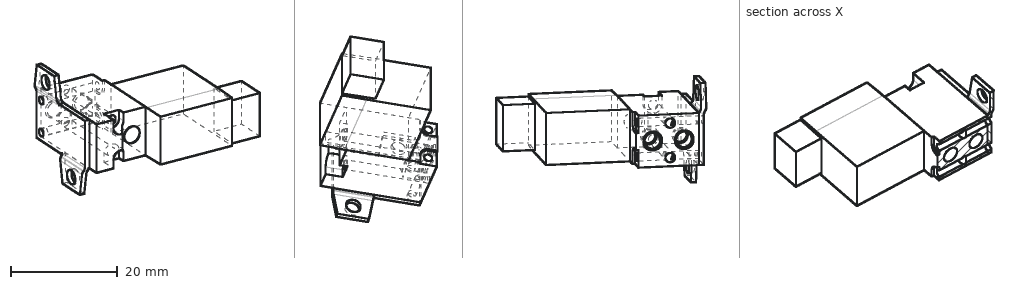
import cadquery as cq
import math


BASE_LENGTH = 19.5
BASE_DEPTH = 12.0
BODY_HEIGHT = 10.0
WAIST_X = 17.7
SLANT_REAR_Y = 6.85
SLANT_ANGLE = 30.0

SCREW_Z = 3.3
FRONT_SCREW_X = 1.7
FRONT_SCREW_DIAMETER = 1.53
SIDE_SCREW_Y = 5.45
SIDE_SCREW_DIAMETER = 1.8
HEAD_RADIUS = 1.67
HEAD_SEAT_X = 16.2
REAR_SEAT_DEPTH = 0.5

FIRST_PORT_Y = 2.78
PORT_COUNT = 2
PORT_PITCH = 6.0
PORT_MOUTH_DIAMETER = 3.6
PORT_DIAMETER = 3.0
PORT_DEPTH = 4.0
PORT_DRILL_DIAMETER = 2.5
DRILL_TIP_ANGLE = 118.0

PAD_Y = 8.97
PAD_DIAMETER = 3.4
PAD_HEIGHT = 0.1

COIL_X = 5.65
COIL_DEPTH = 16.02
TAPER_START_X = 18.12
COIL_END_X = 22.9
TAPER_INSET = 0.07

CONNECTOR_X = 16.4
CONNECTOR_DEPTH = 6.1
CONNECTOR_HEIGHT = 8.9

PLATE_LENGTH = 16.98
SHEET_THICKNESS = 1.0
TAB_ROOT_WIDTH = 8.0
TAB_TIP_WIDTH = 6.12
TAB_TIP_Z = 10.5
TAB_OFFSET = 0.5
BEND_START_Z = 4.65
BEND_RADIUS = 1.07
BEND_ANGLE = 37.0
TAB_HOLE_Z = 8.0
TAB_HOLE_DIAMETER = 2.8

HALF_HEIGHT = BODY_HEIGHT / 2
COIL_REAR_Y = BASE_DEPTH + COIL_DEPTH
TAB_FRONT_Y = -SHEET_THICKNESS - TAB_OFFSET


def box(x_range, y_range, z_range):
    """Box between two limits along each axis."""
    limits = (x_range, y_range, z_range)
    sizes = [high - low for low, high in limits]
    corner = tuple(low for low, high in limits)
    return cq.Workplane("XY").box(*sizes, centered=False).translate(corner)


def rod_along_x(x_start, length, y, z, diameter):
    return cq.Workplane("YZ", origin=(x_start, y, z)).circle(diameter / 2).extrude(length)


def rod_along_y(y_start, length, x, z, diameter):
    return cq.Workplane("XZ", origin=(x, y_start, z)).circle(diameter / 2).extrude(-length)


def base_block():
    """Block that narrows to a waist behind a slanted shoulder."""
    slant_front_y = SLANT_REAR_Y - (BASE_LENGTH - WAIST_X) * math.tan(math.radians(SLANT_ANGLE))
    outline = [
        (0, 0),
        (BASE_LENGTH, 0),
        (BASE_LENGTH, slant_front_y),
        (WAIST_X, SLANT_REAR_Y),
        (WAIST_X, BASE_DEPTH),
        (0, BASE_DEPTH),
    ]
    block = cq.Workplane("XY", origin=(0, 0, -HALF_HEIGHT)).polyline(outline).close()
    return block.extrude(BODY_HEIGHT)


def side_screw_cut(side):
    """Hole along X whose screw head seat opens to the upper (side 1) or lower (side -1) face."""
    z = side * SCREW_Z
    hole = rod_along_x(0, BASE_LENGTH, SIDE_SCREW_Y, z, SIDE_SCREW_DIAMETER)
    seat = rod_along_x(HEAD_SEAT_X, BASE_LENGTH - HEAD_SEAT_X, SIDE_SCREW_Y, z, 2 * HEAD_RADIUS)
    opening = box(
        (HEAD_SEAT_X, BASE_LENGTH),
        (SIDE_SCREW_Y - HEAD_RADIUS, SIDE_SCREW_Y + HEAD_RADIUS),
        sorted((z, side * HALF_HEIGHT)),
    )
    return hole.union(seat).union(opening)


def front_screw_holes():
    """Pair of holes along Y through the bracket plate and the base."""
    holes = cq.Workplane("XZ", origin=(FRONT_SCREW_X, BASE_DEPTH, 0))
    holes = holes.pushPoints([(0, SCREW_Z), (0, -SCREW_Z)]).circle(FRONT_SCREW_DIAMETER / 2)
    return holes.extrude(BASE_DEPTH + SHEET_THICKNESS)


def rear_seat_cut(side):
    """Shallow corner recess on the rear face, rounded about the front screw hole."""
    seat = box(
        (0, FRONT_SCREW_X + HEAD_RADIUS),
        (BASE_DEPTH - REAR_SEAT_DEPTH, BASE_DEPTH),
        sorted((side * (SCREW_Z - HEAD_RADIUS), side * HALF_HEIGHT)),
    )
    inner_edge = ">X and <Z" if side > 0 else ">X and >Z"
    return seat.edges("|Y").edges(inner_edge).fillet(HEAD_RADIUS)


def port_cut(y):
    """Chamfered port along X with a narrower conical drill tip."""
    mouth_radius = PORT_MOUTH_DIAMETER / 2
    port_radius = PORT_DIAMETER / 2
    drill_radius = PORT_DRILL_DIAMETER / 2
    tip_length = drill_radius / math.tan(math.radians(DRILL_TIP_ANGLE / 2))
    half_section = [
        (0, 0),
        (0, mouth_radius),
        (mouth_radius - port_radius, port_radius),
        (PORT_DEPTH, port_radius),
        (PORT_DEPTH, drill_radius),
        (PORT_DEPTH + tip_length, 0),
    ]
    port = cq.Workplane("XY").polyline(half_section).close().revolve(360, (0, 0), (1, 0))
    return port.translate((0, y, 0))


def make_base():
    base = base_block()
    for side in (1, -1):
        base = base.cut(side_screw_cut(side)).cut(rear_seat_cut(side))
    for index in range(PORT_COUNT):
        base = base.cut(port_cut(FIRST_PORT_Y + index * PORT_PITCH))
    base = base.cut(front_screw_holes())
    return base.union(rod_along_x(WAIST_X, PAD_HEIGHT, PAD_Y, 0, PAD_DIAMETER))


def make_coil():
    """Box whose +X end tapers slightly on all four sides."""
    coil = box((COIL_X, TAPER_START_X), (BASE_DEPTH, COIL_REAR_Y), (-HALF_HEIGHT, HALF_HEIGHT))
    middle = (TAPER_START_X, BASE_DEPTH + COIL_DEPTH / 2, 0)
    end = cq.Workplane("YZ", origin=middle).rect(COIL_DEPTH, BODY_HEIGHT)
    end = end.workplane(offset=COIL_END_X - TAPER_START_X)
    end = end.rect(COIL_DEPTH - 2 * TAPER_INSET, BODY_HEIGHT - 2 * TAPER_INSET).loft()
    return coil.union(end)


def make_connector():
    """Block behind the coil, its front fitted to the taper of the coil."""
    connector = box(
        (CONNECTOR_X, COIL_END_X),
        (COIL_REAR_Y - TAPER_INSET, COIL_REAR_Y + CONNECTOR_DEPTH),
        (-CONNECTOR_HEIGHT / 2, CONNECTOR_HEIGHT / 2),
    )
    return connector.cut(make_coil())


def tab_profile():
    """Side section of an upward tab: an S bend of two arcs and a short slope, then a straight leaf."""
    angle = math.radians(BEND_ANGLE)
    arc_offset = BEND_RADIUS * (1 - math.cos(angle))
    arc_height = BEND_RADIUS * math.sin(angle)
    slope_height = (TAB_OFFSET - 2 * arc_offset) / math.tan(angle)
    root_z = BEND_START_Z - SHEET_THICKNESS
    first_arc_z = BEND_START_Z + arc_height
    second_arc_z = first_arc_z + slope_height
    bend_end_z = second_arc_z + arc_height

    front_y = -SHEET_THICKNESS
    tab_back_y = TAB_FRONT_Y + SHEET_THICKNESS
    return (
        cq.Workplane("YZ")
        .moveTo(front_y, root_z)
        .lineTo(front_y, BEND_START_Z)
        .tangentArcPoint((front_y - arc_offset, first_arc_z), relative=False)
        .lineTo(TAB_FRONT_Y + arc_offset, second_arc_z)
        .tangentArcPoint((TAB_FRONT_Y, bend_end_z), relative=False)
        .lineTo(TAB_FRONT_Y, TAB_TIP_Z)
        .lineTo(tab_back_y, TAB_TIP_Z)
        .lineTo(tab_back_y, bend_end_z)
        .tangentArcPoint((tab_back_y + arc_offset, second_arc_z), relative=False)
        .lineTo(-arc_offset, first_arc_z)
        .tangentArcPoint((0, BEND_START_Z), relative=False)
        .lineTo(0, root_z)
        .close()
    )


def upper_tab():
    """Tapered tab with a mounting hole, bent forward above the plate, centred on X = 0."""
    root = TAB_ROOT_WIDTH / 2
    tip = TAB_TIP_WIDTH / 2
    outline = [
        (-root, 0),
        (root, 0),
        (root, HALF_HEIGHT),
        (tip, TAB_TIP_Z),
        (-tip, TAB_TIP_Z),
        (-root, HALF_HEIGHT),
    ]
    leaf = cq.Workplane("XZ").polyline(outline).close().extrude(-TAB_FRONT_Y)
    tab = tab_profile().extrude(root, both=True).intersect(leaf)
    return tab.cut(rod_along_y(TAB_FRONT_Y, SHEET_THICKNESS, 0, TAB_HOLE_Z, TAB_HOLE_DIAMETER))


def make_bracket():
    """Flat plate with one tab up at its left end and one tab down at its right end."""
    plate = box((0, PLATE_LENGTH), (-SHEET_THICKNESS, 0), (-HALF_HEIGHT, HALF_HEIGHT))
    left_tab = upper_tab().translate((TAB_ROOT_WIDTH / 2, 0, 0))
    right_tab = upper_tab().mirror("XY").translate((PLATE_LENGTH - TAB_ROOT_WIDTH / 2, 0, 0))
    return plate.union(left_tab).union(right_tab).cut(front_screw_holes())


base = make_base()
bracket = make_bracket()
coil = make_coil()
connector = make_connector()

result = cq.Compound.makeCompound([base.val(), bracket.val(), coil.val(), connector.val()])